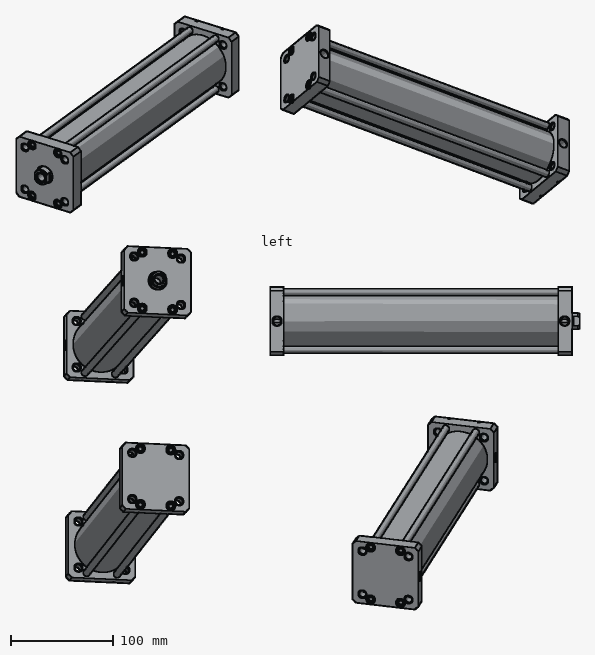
import cadquery as cq
import math

total_length = 303.0
plate_side = 67.0
plate_corner_chamfer = 3.5
front_plate_thickness = 13.5
rear_plate_thickness = 13.0
rod_protrusion = 7.5

rod_tip_y = -total_length / 2
front_face_y = rod_tip_y + rod_protrusion
barrel_front_y = front_face_y + front_plate_thickness
rear_face_y = total_length / 2
barrel_rear_y = rear_face_y - rear_plate_thickness

barrel_diameter = 54.0

tie_rod_diameter = 7.0
tie_rod_x = 15.0
tie_rod_z = 28.2
tie_rod_recess = 1.5
seat_diameter = 9.0
center_mark_diameter = 4.2

mount_offset = 23.3
mount_diameter = 6.7
mount_mouth_diameter = 8.8

port_diameter = 8.5
port_mouth_diameter = 9.7
port_depth = 18.2
port_to_barrel = 6.5
bar_diameter = 3.5
bar_to_port_tip = 0.5

rod_diameter = 16.0
rod_tip_diameter = 14.8
rod_tip_length = 1.8
rod_flats_width = 13.0
rod_flats_length = 6.0
bore_clearance = 0.5
bore_diameter = rod_diameter + bore_clearance
bore_mouth_diameter = 18.5

thread_diameter = 8.5
thread_mouth_diameter = 10.5
thread_depth = 15.0
thread_bottom_depth = 0.3

drill_angle = 118


def drill_point_length(diameter):
    """Length of the cone that a drill leaves at the bottom of a hole."""
    return diameter / 2 / math.tan(math.radians(drill_angle / 2))


def mirrored_places(x, z):
    """The four XZ places that mirror one place in both axes."""
    return [(side * x, level * z) for side in (-1, 1) for level in (-1, 1)]


def y_cylinder(x, z, y_start, y_end, diameter):
    start_plane = cq.Plane(origin=(x, y_start, z), xDir=(1, 0, 0), normal=(0, 1, 0))
    return cq.Workplane(start_plane).circle(diameter / 2).extrude(y_end - y_start)


def cone(point, direction, base_diameter, end_diameter, length):
    solid = cq.Solid.makeCone(
        base_diameter / 2, end_diameter / 2, length, cq.Vector(*point), cq.Vector(*direction)
    )
    return cq.Workplane(solid)


def hole_mouth(x, y, z, mouth_diameter, hole_diameter, inward):
    """A 45 degree chamfer cutter for a hole along Y; inward is +1 or -1."""
    depth = (mouth_diameter - hole_diameter) / 2
    return cone((x, y, z), (0, inward, 0), mouth_diameter, hole_diameter, depth)


tie_rod_places = mirrored_places(tie_rod_x, tie_rod_z)
mount_places = mirrored_places(mount_offset, mount_offset)


def make_port(port_y):
    """The space of a port drilled from the -X side, less the bar that crosses its bottom."""
    side_x = -plate_side / 2
    bottom_x = side_x + port_depth
    point_length = drill_point_length(port_diameter)
    bar_x = bottom_x + point_length - bar_to_port_tip

    port = cq.Workplane("YZ", origin=(side_x, port_y, 0)).circle(port_diameter / 2).extrude(port_depth)
    port = port.union(cone((bottom_x, port_y, 0), (1, 0, 0), port_diameter, 0, point_length))
    mouth_depth = (port_mouth_diameter - port_diameter) / 2
    port = port.union(cone((side_x, port_y, 0), (1, 0, 0), port_mouth_diameter, port_diameter, mouth_depth))
    return port.cut(y_cylinder(bar_x, 0, port_y - port_diameter, port_y + port_diameter, bar_diameter))


def make_plate(outer_y, barrel_y):
    """An end plate between its outer face and the face that carries the barrel."""
    inward = math.copysign(1, barrel_y - outer_y)
    thickness = abs(barrel_y - outer_y)
    plate = cq.Workplane("XY").box(plate_side, thickness, plate_side)
    plate = plate.edges("|Y").chamfer(plate_corner_chamfer)
    plate = plate.translate((0, (outer_y + barrel_y) / 2, 0))

    for x, z in mount_places:
        plate = plate.cut(y_cylinder(x, z, outer_y, barrel_y, mount_diameter))
        plate = plate.cut(hole_mouth(x, outer_y, z, mount_mouth_diameter, mount_diameter, inward))
        plate = plate.cut(hole_mouth(x, barrel_y, z, mount_mouth_diameter, mount_diameter, -inward))

    seat_y = outer_y + inward * tie_rod_recess
    for x, z in tie_rod_places:
        plate = plate.cut(y_cylinder(x, z, outer_y, barrel_y, tie_rod_diameter))
        plate = plate.cut(y_cylinder(x, z, outer_y, seat_y, seat_diameter))

    return plate.cut(make_port(barrel_y - inward * port_to_barrel))


def make_front_plate():
    plate = make_plate(front_face_y, barrel_front_y)
    plate = plate.cut(y_cylinder(0, 0, front_face_y, barrel_front_y, bore_diameter))
    return plate.cut(hole_mouth(0, front_face_y, 0, bore_mouth_diameter, bore_diameter, 1))


def make_piston_rod():
    """The rod from its chamfered tip to the barrel."""
    rod = y_cylinder(0, 0, rod_tip_y + rod_tip_length, barrel_front_y, rod_diameter)
    rod = rod.union(cone((0, rod_tip_y, 0), (0, 1, 0), rod_tip_diameter, rod_diameter, rod_tip_length))

    for side in (-1, 1):
        flat_x = side * (rod_flats_width + rod_diameter) / 2
        flat = cq.Workplane("XY").box(rod_diameter, 2 * rod_flats_length, rod_diameter)
        rod = rod.cut(flat.translate((flat_x, rod_tip_y, 0)))

    thread_end_y = rod_tip_y + thread_depth
    rod = rod.cut(y_cylinder(0, 0, rod_tip_y, thread_end_y, thread_diameter))
    rod = rod.cut(cone((0, thread_end_y, 0), (0, 1, 0), thread_diameter, 0, thread_bottom_depth))
    return rod.cut(hole_mouth(0, rod_tip_y, 0, thread_mouth_diameter, thread_diameter, 1))


def make_tie_rod(x, z):
    """A tie rod recessed in both plates, with a conical center mark in each end."""
    front_end_y = front_face_y + tie_rod_recess
    rear_end_y = rear_face_y - tie_rod_recess
    mark_depth = drill_point_length(center_mark_diameter)
    tie_rod = y_cylinder(x, z, front_end_y, rear_end_y, tie_rod_diameter)
    for end_y, inward in ((front_end_y, 1), (rear_end_y, -1)):
        tie_rod = tie_rod.cut(cone((x, end_y, z), (0, inward, 0), center_mark_diameter, 0, mark_depth))
    return tie_rod


front_plate = make_front_plate()
rear_plate = make_plate(rear_face_y, barrel_rear_y)
barrel = y_cylinder(0, 0, barrel_front_y, barrel_rear_y, barrel_diameter)
piston_rod = make_piston_rod()
tie_rods = [make_tie_rod(x, z) for x, z in tie_rod_places]

result = cq.Compound.makeCompound(
    [
        front_plate.val(),
        rear_plate.val(),
        barrel.val(),
        piston_rod.val(),
        *[tie_rod.val() for tie_rod in tie_rods],
    ]
)